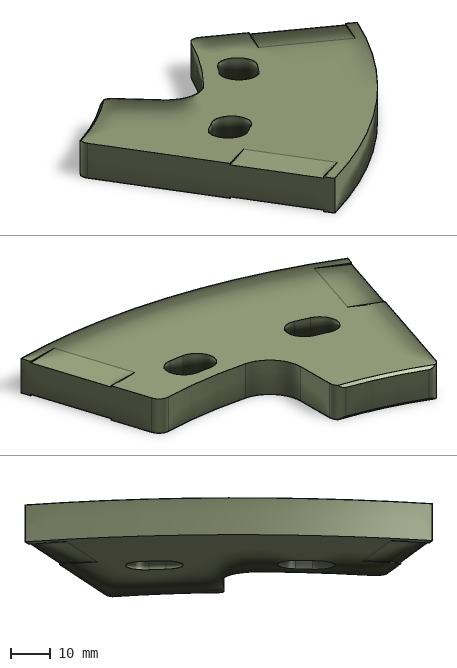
import cadquery as cq
import math

thickness = 9.5
outer_radius = 173.55
inner_radius = 104.5
sector_angle = math.degrees(math.asin(97.6 / outer_radius))

notch_radius = 129.9
notch_start_angle = 16.06
notch_fillet = 9.5
corner_fillet = 3.0
rim_chamfer = 0.8

slot_path_radius = 139.1
slot_width = 10.0
slot_half_angle = 0.92
slot_offset_angle = 7.87

recess_length = 25.0
recess_width = 10.0
recess_depth = 0.4
recess_outer_margin = 3.0


def polar(radius, angle):
    """Point at a radius and an angle in degrees."""
    return (
        radius * math.cos(math.radians(angle)),
        radius * math.sin(math.radians(angle)),
    )


def ring_sector(inner, outer, start, end):
    """Plate bounded by two arcs and two radial edges."""
    middle = (start + end) / 2
    return (
        cq.Workplane("XY")
        .moveTo(*polar(inner, start))
        .lineTo(*polar(outer, start))
        .threePointArc(polar(outer, middle), polar(outer, end))
        .lineTo(*polar(inner, end))
        .threePointArc(polar(inner, middle), polar(inner, start))
        .close()
        .extrude(thickness)
    )


def fillet_upright_edge(body, radius, angle, fillet):
    """Round the vertical edge at a polar position."""
    x, y = polar(radius, angle)
    edge = cq.selectors.NearestToPointSelector((x, y, thickness / 2))
    return body.edges("|Z").edges(edge).fillet(fillet)


def rim_chamfer_cutter():
    """Conical cuts on the upper and lower edges of the inner rim."""
    chamfer_radius = inner_radius + rim_chamfer
    upper = (
        cq.Workplane("XZ")
        .polyline([
            (inner_radius, thickness - rim_chamfer),
            (chamfer_radius, thickness),
            (inner_radius, thickness),
        ])
        .close()
        .revolve(360, (0, 0), (0, 1))
    )
    return upper.union(upper.mirror("XY", (0, 0, thickness / 2)))


def curved_slot(center_angle):
    """Slot with round ends that follows an arc about the Z axis."""
    start = center_angle - slot_half_angle
    end = center_angle + slot_half_angle
    half_width = slot_width / 2
    slot = ring_sector(slot_path_radius - half_width, slot_path_radius + half_width, start, end)
    ends = (
        cq.Workplane("XY")
        .pushPoints([polar(slot_path_radius, start), polar(slot_path_radius, end)])
        .circle(half_width)
        .extrude(thickness)
    )
    return slot.union(ends)


def recess_pair():
    """Wedge cutters for both faces along the end edge on the +X axis."""
    recess_start = outer_radius - recess_outer_margin - recess_length
    lower = (
        cq.Workplane("YZ", origin=(recess_start, 0, 0))
        .polyline([(0, 0), (recess_width, 0), (0, recess_depth)])
        .close()
        .extrude(recess_length)
    )
    return lower.union(lower.mirror("XY", (0, 0, thickness / 2)))


plate = ring_sector(inner_radius, outer_radius, 0, notch_start_angle)
plate = plate.union(ring_sector(notch_radius, outer_radius, notch_start_angle, sector_angle)).clean()

plate = fillet_upright_edge(plate, notch_radius, notch_start_angle, notch_fillet)
for radius, angle in [
    (inner_radius, 0),
    (inner_radius, notch_start_angle),
    (notch_radius, sector_angle),
]:
    plate = fillet_upright_edge(plate, radius, angle, corner_fillet)

plate = plate.cut(rim_chamfer_cutter())

for side in (-1, 1):
    plate = plate.cut(curved_slot(sector_angle / 2 + side * slot_offset_angle))

near_recesses = recess_pair()
far_recesses = near_recesses.mirror("XZ").rotate((0, 0, 0), (0, 0, 1), sector_angle)
result = plate.cut(near_recesses).cut(far_recesses)